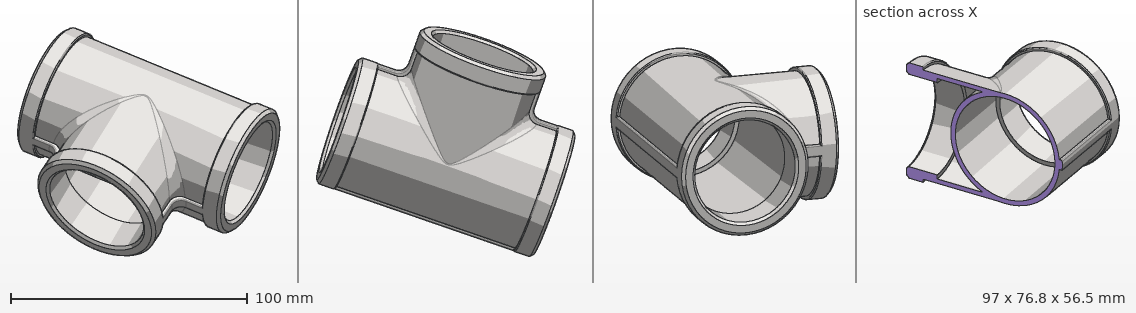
import cadquery as cq
run_length = 97.0
branch_reach = 48.5
band_diameter = 56.5
band_width = 8.3
run_diameter = 53.6
branch_diameter = 53.35
socket_diameter = 44.8
socket_depth = 15.2
chamber_diameter = 48.7
rim_chamfer = 1.4
lead_in = 1.2
saddle_fillet = 4.85
rib_width = 5.0
rib_fillet = 4.5
raised_edge_round = 0.5

half_run = run_length / 2
band_radius = band_diameter / 2
run_mouth = cq.Plane(origin=(-half_run, 0, 0), xDir=(0, 1, 0), normal=(1, 0, 0))
far_run_mouth = cq.Plane(origin=(half_run, 0, 0), xDir=(0, 1, 0), normal=(-1, 0, 0))
branch_mouth = cq.Plane(origin=(0, -branch_reach, 0), xDir=(1, 0, 0), normal=(0, 1, 0))
mouths = [run_mouth, far_run_mouth, branch_mouth]


def cylinder(mouth, diameter, length, start=0.0):
    """Cylinder along a mouth's axis, beginning at a depth inside that mouth."""
    return cq.Workplane(mouth).workplane(offset=start).circle(diameter / 2).extrude(length)


def solid_tee(run_size, branch_size, setback=0.0):
    """Run and branch cylinders joined without any bore, each ending a setback short of its mouths."""
    run = cylinder(run_mouth, run_size, run_length - 2 * setback, setback)
    return run.union(cylinder(branch_mouth, branch_size, branch_reach - setback, setback))


def walls():
    """Plain tee with a fillet along the saddle curve where the branch meets the run."""
    saddle = cq.selectors.BoxSelector(
        (-band_radius, -band_radius, -band_radius), (band_radius, 0, band_radius), boundingbox=True
    )
    return solid_tee(run_diameter, branch_diameter).edges(saddle).fillet(saddle_fillet)


def band(mouth):
    """Raised band with a chamfer at the mouth and a small round at its inner edge."""
    blank = cylinder(mouth, band_diameter, band_width)
    outer_edge = cq.selectors.NearestToPointSelector(mouth.origin.toTuple())
    rounded = blank.edges(outer_edge).chamfer(rim_chamfer)
    inner_edge = cq.selectors.NearestToPointSelector((mouth.origin + mouth.zDir * band_width).toTuple())
    return rounded.edges(inner_edge).fillet(raised_edge_round)


def rib():
    """Rib along the Z mid-plane, flush with the bands and running in under them."""
    slab = cq.Workplane("XY").box(2 * run_length, 2 * run_length, rib_width)
    plate = solid_tee(band_diameter, band_diameter, band_width / 2).intersect(slab)
    half_width = rib_width / 2
    corners = cq.selectors.BoxSelector(
        (-band_radius - 1, -band_radius - 1, -half_width), (band_radius + 1, -band_radius + 1, half_width)
    )
    plate = plate.edges(corners).fillet(rib_fillet)
    return plate.faces("|Z").edges("not(|Y and (>X or <X))").edges("not(|X and <Y)").fillet(raised_edge_round)


def socket(mouth):
    """Socket bore with a chamfered entry."""
    entry = cq.Workplane(mouth).circle(socket_diameter / 2 + lead_in).workplane(offset=lead_in)
    entry = entry.circle(socket_diameter / 2).loft()
    return entry.union(cylinder(mouth, socket_diameter, socket_depth))


def chambers():
    """Run chamber, and branch chamber that stops at the outer wall of the run."""
    run_chamber = cylinder(run_mouth, chamber_diameter, run_length - 2 * socket_depth, socket_depth)
    branch_chamber = cylinder(branch_mouth, chamber_diameter, branch_reach - socket_depth, socket_depth)
    run_outside = cylinder(run_mouth, run_diameter, run_length)
    return run_chamber.union(branch_chamber.cut(run_outside))


raised_parts = rib()
for mouth in mouths:
    raised_parts = raised_parts.union(band(mouth))

result = walls().union(raised_parts).cut(chambers())
for mouth in mouths:
    result = result.cut(socket(mouth))